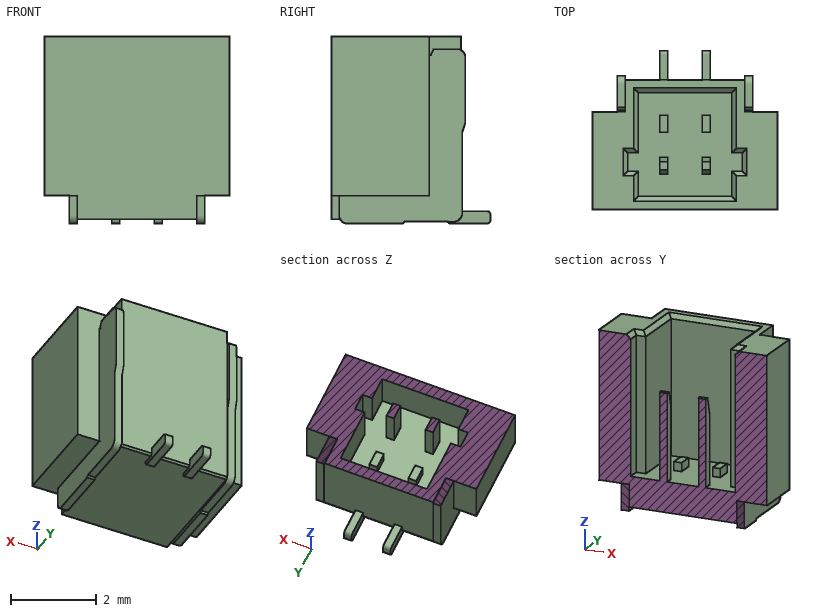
import cadquery as cq
import math


total_height = 4.4
wing_width = 4.35
wing_depth = 2.3
wing_bottom = 0.66
core_width = 2.8
core_depth = 3.05
core_bottom = 0.1
core_heel_chamfer = 0.05

cavity_width = 2.2
cavity_front = 0.312
cavity_back = 2.75
key_span = 2.695
key_front = 0.905
key_back = 1.335
cavity_floor = 0.88
mouth_chamfer = 0.11

contact_pitch = 1.0
contact_thickness = 0.2
blade_depth = 0.4
pin_center = 1.03
pin_top = 3.08
pin_taper_inset = 0.105
pin_taper_height = 0.4
stub_center = 2.025
stub_height = 0.22
lead_back = 3.74
lead_front = 2.725
lead_top = 0.3
lead_corner_radius = 0.09

plate_thickness = 0.2
plate_front = 0.18
plate_back = 3.15
plate_waist_back = 3.075
plate_top = 4.105
plate_taper_top = 2.375
plate_taper_bottom = 2.145
plate_corner_radius = 0.2
plate_raised_bottom = 0.05
plate_foot_back = 1.715
plate_foot_slope = 0.035
plate_notch_depth = 0.15
plate_notch_slope = 0.07
plate_notch_flat = 0.03


def make_box(x_size, y_range, z_range):
    """Box centred on X = 0 that fills the given Y and Z ranges."""
    y_low, y_high = y_range
    z_low, z_high = z_range
    box = cq.Workplane("XY").box(x_size, y_high - y_low, z_high - z_low, centered=(True, False, False))
    return box.translate((0, y_low, z_low))


def make_cavity_outline(growth, z):
    """Closed outline of the keyed cavity at height z, offset outward by `growth`."""
    half_width = cavity_width / 2 + growth
    half_span = key_span / 2 + growth
    front = cavity_front - growth
    back = cavity_back + growth
    slot_front = key_front - growth
    slot_back = key_back + growth
    right_side = [
        (half_width, front),
        (half_width, slot_front),
        (half_span, slot_front),
        (half_span, slot_back),
        (half_width, slot_back),
        (half_width, back),
    ]
    left_side = [(-x, y) for x, y in reversed(right_side)]
    return cq.Workplane("XY").workplane(offset=z).polyline(right_side + left_side).close()


def make_cavity():
    chamfer_bottom = total_height - mouth_chamfer
    shaft = make_cavity_outline(0, cavity_floor).extrude(chamfer_bottom - cavity_floor)
    lower_wire = make_cavity_outline(0, chamfer_bottom).val()
    upper_wire = make_cavity_outline(mouth_chamfer, total_height).val()
    mouth = cq.Solid.makeLoft([lower_wire, upper_wire], True)
    return shaft.union(cq.Workplane(mouth))


def make_pin():
    """Pin with its front and back faces tapered towards the tip."""
    half_depth = blade_depth / 2
    half_tip = half_depth - pin_taper_inset
    taper_bottom = pin_top - pin_taper_height
    profile = [
        (pin_center - half_depth, cavity_floor),
        (pin_center + half_depth, cavity_floor),
        (pin_center + half_depth, taper_bottom),
        (pin_center + half_tip, pin_top),
        (pin_center - half_tip, pin_top),
        (pin_center - half_depth, taper_bottom),
    ]
    return cq.Workplane("YZ").polyline(profile).close().extrude(contact_thickness / 2, both=True)


def make_stub():
    y_range = (stub_center - blade_depth / 2, stub_center + blade_depth / 2)
    return make_box(contact_thickness, y_range, (cavity_floor, cavity_floor + stub_height))


def make_lead():
    """Solder lead that leaves the back of the core, rounded at its back corners and its heel."""
    lead = make_box(contact_thickness, (lead_front, lead_back), (0, lead_top))
    return lead.edges("|X and (<Z or >Y)").fillet(lead_corner_radius)


def make_housing():
    wing = make_box(wing_width, (0, wing_depth), (wing_bottom, total_height))
    core = make_box(core_width, (0, core_depth), (core_bottom, total_height))
    core = core.edges("|X and >Y and <Z").chamfer(core_heel_chamfer)
    housing = wing.union(core).cut(make_cavity())
    for x in (-contact_pitch / 2, contact_pitch / 2):
        for contact_part in (make_pin(), make_stub(), make_lead()):
            housing = housing.union(contact_part.translate((x, 0, 0)))
    return housing


def make_plate(left_x):
    """Mounting plate whose lower-X face lies at left_x."""
    radius = plate_corner_radius
    arc_inset = radius * (1 - math.sqrt(0.5))
    notch_bottom = plate_top - plate_notch_depth
    notch_foot = wing_depth + plate_notch_flat
    profile = (
        cq.Workplane("YZ")
        .moveTo(wing_depth, wing_bottom)
        .lineTo(plate_front, wing_bottom)
        .lineTo(plate_front, radius)
        .threePointArc((plate_front + arc_inset, arc_inset), (plate_front + radius, 0))
        .lineTo(plate_foot_back - plate_foot_slope, 0)
        .lineTo(plate_foot_back, plate_raised_bottom)
        .lineTo(plate_waist_back - radius, plate_raised_bottom)
        .threePointArc(
            (plate_waist_back - arc_inset, plate_raised_bottom + arc_inset),
            (plate_waist_back, plate_raised_bottom + radius),
        )
        .lineTo(plate_waist_back, plate_taper_bottom)
        .lineTo(plate_back, plate_taper_top)
        .lineTo(plate_back, plate_top - radius)
        .threePointArc((plate_back - arc_inset, plate_top - arc_inset), (plate_back - radius, plate_top))
        .lineTo(notch_foot + plate_notch_slope, plate_top)
        .lineTo(notch_foot, notch_bottom)
        .lineTo(wing_depth, notch_bottom)
        .close()
    )
    return profile.extrude(plate_thickness).translate((left_x, 0, 0))


housing = make_housing()
plates = [make_plate(x) for x in (-core_width / 2 - plate_thickness, core_width / 2)]

result = cq.Compound.makeCompound([housing.val()] + [plate.val() for plate in plates])